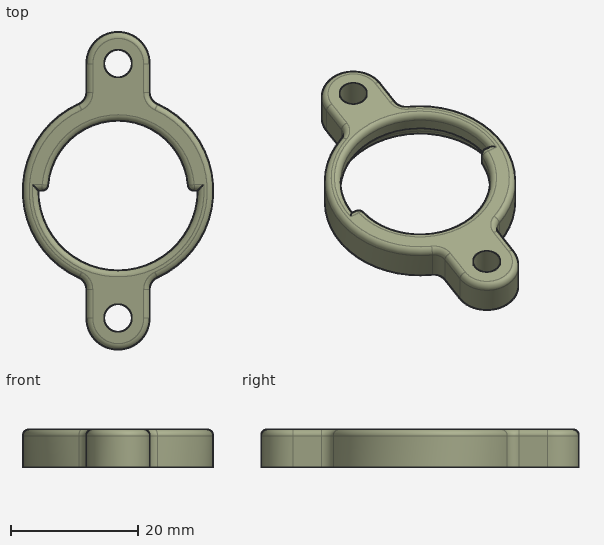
import cadquery as cq

length = 50.0
height = 6.0
ring_radius = 15.0
tab_radius = 5.0
hole_diameter = 4.3
tab_centre_y = length / 2 - tab_radius
neck_fillet = 2.0
edge_fillet = 1.0

recess_diameter = 27.5
recess_depth = 3.2
recess_fillet = 2.5
wide_lip_radius = 12.5
narrow_lip_radius = 11.0


def box_around_origin(half_x, half_y):
    """Selector for whatever is centred within the given half widths, over the full height."""
    return cq.selectors.BoxSelector((-half_x, -half_y, 0), (half_x, half_y, height))


def body_blank():
    """Ring blank with two rounded tabs, blended at the necks."""
    ring = cq.Workplane("XY").circle(ring_radius).extrude(height)
    tabs = cq.Workplane("XY").slot2D(length, 2 * tab_radius, 90).extrude(height)
    necks = box_around_origin(tab_radius + neck_fillet, ring_radius)
    return ring.union(tabs).edges("|Z").edges(necks).fillet(neck_fillet)


def bore_cutter():
    """Through opening whose radius steps across the X axis, with rounded step noses."""
    full = cq.Workplane("XY").circle(wide_lip_radius).extrude(height)
    upper_half = (
        cq.Workplane("XY")
        .rect(2 * ring_radius, ring_radius)
        .extrude(height)
        .translate((0, ring_radius / 2, 0))
    )
    narrow = cq.Workplane("XY").circle(narrow_lip_radius).extrude(height)
    stepped = full.cut(upper_half).union(narrow)
    noses = box_around_origin(wide_lip_radius - edge_fillet, edge_fillet)
    return stepped.edges("|Z").edges(noses).fillet(edge_fillet)


def recess_cutter():
    """Wide recess open at the bottom, curving inward to meet the underside of the lip."""
    recess = cq.Workplane("XY").circle(recess_diameter / 2).extrude(recess_depth)
    return recess.faces(">Z").edges().fillet(recess_fillet)


def hole_cutter():
    """Through holes at the tab centres."""
    return (
        cq.Workplane("XY")
        .pushPoints([(0, -tab_centre_y), (0, tab_centre_y)])
        .circle(hole_diameter / 2)
        .extrude(height)
    )


body = body_blank().cut(bore_cutter())
rounded_body = body.faces(">Z").edges().fillet(edge_fillet)
result = rounded_body.cut(recess_cutter()).cut(hole_cutter())